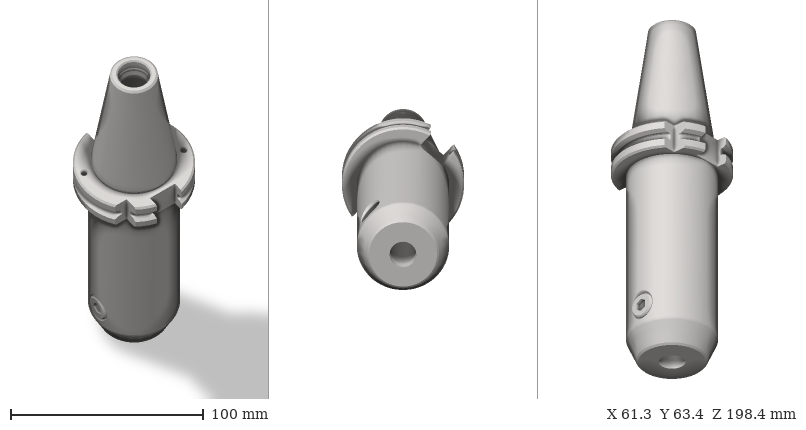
import cadquery as cq
import math

total_height = 198.4
taper_end_height = 129.2
flange_top = 126.8
flange_bottom = 111.0
groove_height = 118.8

taper_large_radius = 22.5
taper_ratio = 7 / 24
taper_small_radius = taper_large_radius - (total_height - taper_end_height) * taper_ratio / 2
taper_end_chamfer = 1.0
taper_land_height = 0.5
neck_radius = 22.0
neck_height = 1.2
flange_radius = 31.7
flange_chamfer = 1.0
groove_root_radius = 28.0
groove_flank_radius = 29.5
groove_root_width = 3.8
groove_corner_chamfer = 0.4
groove_half_angle = 30.0
body_radius = 24.0
nose_cone_height = 12.9
nose_radius = 18.6
nose_chamfer = 1.0
nose_shoulder_fillet = 2.8

bore_radius = 7.0
pilot_radius = 8.5
pilot_depth = 5.5
pilot_mouth_chamfer = 0.8
pilot_floor_cone_height = 0.5
thread_radius = 8.1
thread_relief_length = 2.0
lead_in_length = 1.8

drive_slot_width = 16.0
deep_slot_floor = 22.5
shallow_slot_floor = 24.8
corner_notch_offset = 18.3

face_hole_circle_radius = 27.0
face_hole_angles = (70.0, 250.0)
face_hole_radius = 1.5
face_hole_mouth_radius = 2.2
face_hole_depth = 4.0

screw_height = 24.0
screw_radius = 7.0
screw_chamfer = 1.0
countersink_radius = 8.3
hex_across_flats = 6.2
hex_half_angle = 30.0
hex_depth = 2.4


def turned_body():
    """Taper shank, grooved flange and nosed cylinder as one revolved outline."""
    groove_root_half = groove_root_width / 2
    flank_height = (flange_radius - groove_flank_radius) * math.tan(math.radians(groove_half_angle))
    groove_floor_half = groove_root_half - groove_corner_chamfer
    groove_corner_radius = groove_root_radius + groove_corner_chamfer
    groove_mouth_half = groove_root_half + flank_height
    outline = [
        (0, 0),
        (nose_radius - nose_chamfer, 0),
        (nose_radius, nose_chamfer),
        (body_radius, nose_cone_height),
        (body_radius, flange_bottom),
        (flange_radius - flange_chamfer, flange_bottom),
        (flange_radius, flange_bottom + flange_chamfer),
        (flange_radius, groove_height - groove_mouth_half),
        (groove_flank_radius, groove_height - groove_root_half),
        (groove_corner_radius, groove_height - groove_root_half),
        (groove_root_radius, groove_height - groove_floor_half),
        (groove_root_radius, groove_height + groove_floor_half),
        (groove_corner_radius, groove_height + groove_root_half),
        (groove_flank_radius, groove_height + groove_root_half),
        (flange_radius, groove_height + groove_mouth_half),
        (flange_radius, flange_top - flange_chamfer),
        (flange_radius - flange_chamfer, flange_top),
        (neck_radius, flange_top),
        (neck_radius, flange_top + neck_height),
        (taper_large_radius, taper_end_height - taper_land_height),
        (taper_large_radius, taper_end_height),
        (taper_small_radius, total_height),
        (0, total_height),
    ]
    turned = cq.Workplane("XZ").polyline(outline).close().revolve(360, (0, 0), (0, 1))
    turned = turned.faces(">Z").chamfer(taper_end_chamfer)
    shoulder = cq.selectors.NearestToPointSelector((0, 0, nose_cone_height))
    return turned.edges("%CIRCLE").edges(shoulder).fillet(nose_shoulder_fillet)


def central_bore():
    """Through bore with a stepped, countersunk pull-stud seat at the taper end."""
    pilot_floor = total_height - pilot_depth
    lead_in_top = pilot_floor - thread_relief_length
    outline = [
        (0, 0),
        (bore_radius, 0),
        (bore_radius, lead_in_top - lead_in_length),
        (thread_radius, lead_in_top),
        (thread_radius, pilot_floor - pilot_floor_cone_height),
        (pilot_radius, pilot_floor),
        (pilot_radius, total_height - pilot_mouth_chamfer),
        (pilot_radius + pilot_mouth_chamfer, total_height),
        (0, total_height),
    ]
    return cq.Workplane("XZ").polyline(outline).close().revolve(360, (0, 0), (0, 1))


def box_between(x_range, y_range, z_range):
    """Axis-aligned box from its three coordinate ranges."""
    corner = (x_range[0], y_range[0], z_range[0])
    sizes = [upper - lower for lower, upper in (x_range, y_range, z_range)]
    return cq.Workplane("XY").box(*sizes, centered=False).translate(corner)


def deep_drive_slot():
    """Round-ended slot on the -X side, running below the flange into the body."""
    slot_depth = flange_radius - deep_slot_floor
    straight = box_between(
        (-flange_radius, -deep_slot_floor),
        (-drive_slot_width / 2, drive_slot_width / 2),
        (flange_bottom, flange_top),
    )
    round_end = (
        cq.Workplane("YZ", origin=(-flange_radius, 0, flange_bottom))
        .circle(drive_slot_width / 2)
        .extrude(slot_depth)
    )
    return straight.union(round_end)


def shallow_drive_slot():
    """Straight slot across the flange on the +X side."""
    return box_between(
        (shallow_slot_floor, flange_radius),
        (-drive_slot_width / 2, drive_slot_width / 2),
        (flange_bottom, flange_top),
    )


def corner_notch():
    """Square notch through the flange at the +X, -Y corner."""
    return box_between(
        (corner_notch_offset, flange_radius),
        (-flange_radius, -corner_notch_offset),
        (flange_bottom, flange_top),
    )


def face_hole(angle):
    """Countersunk blind hole with a conical bottom in the upper flange face."""
    mouth_depth = face_hole_mouth_radius - face_hole_radius
    outline = [
        (0, 0),
        (face_hole_mouth_radius, 0),
        (face_hole_radius, -mouth_depth),
        (face_hole_radius, -face_hole_depth),
        (0, -face_hole_depth - face_hole_radius),
    ]
    hole = cq.Workplane("XZ").polyline(outline).close().revolve(360, (0, 0), (0, 1))
    x = face_hole_circle_radius * math.cos(math.radians(angle))
    y = face_hole_circle_radius * math.sin(math.radians(angle))
    return hole.translate((x, y, flange_top))


def side_hole():
    """Countersunk radial hole from the bore out through the +Y side of the body."""
    countersink_depth = countersink_radius - screw_radius
    outline = [
        (0, 0),
        (screw_radius, 0),
        (screw_radius, body_radius - countersink_depth),
        (countersink_radius, body_radius),
        (0, body_radius),
    ]
    hole = cq.Workplane("XY").polyline(outline).close().revolve(360, (0, 0), (0, 1))
    return hole.translate((0, 0, screw_height))


def clamping_screw():
    """Chamfered socket screw flush with the -Y side."""
    screw = (
        cq.Workplane("XZ", origin=(0, 0, screw_height))
        .circle(screw_radius)
        .extrude(body_radius)
        .faces("<Y")
        .chamfer(screw_chamfer)
    )
    hex_across_corners = hex_across_flats / math.cos(math.radians(hex_half_angle))
    socket = (
        cq.Workplane("XZ", origin=(0, hex_depth - body_radius, screw_height))
        .polygon(6, hex_across_corners)
        .extrude(hex_depth)
        .rotate((0, 0, screw_height), (0, 1, screw_height), hex_half_angle)
    )
    return screw.cut(socket)


result = turned_body()
for slot in (deep_drive_slot(), shallow_drive_slot(), corner_notch()):
    result = result.cut(slot)
for hole_angle in face_hole_angles:
    result = result.cut(face_hole(hole_angle))
result = result.cut(side_hole()).cut(side_hole().mirror("XZ"))
result = result.union(clamping_screw()).cut(central_bore())